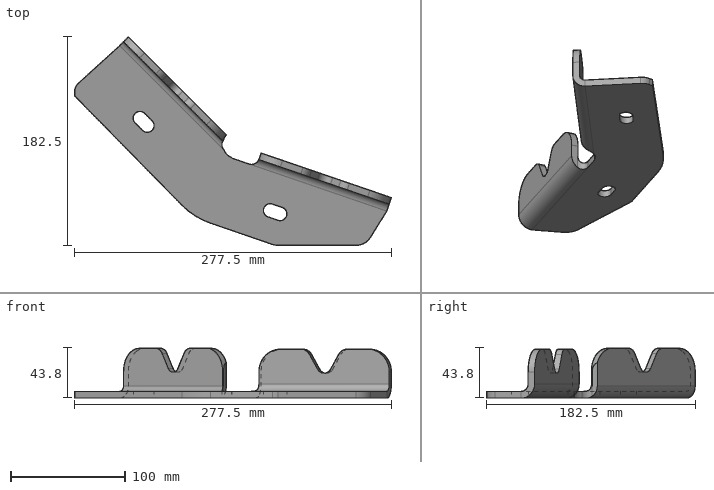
import cadquery as cq
import math

thickness = 6.0
corner_radius = 20.0
notch_depth = 21.0
notch_bottom_radius = 7.0
notch_lip_radius = 9.2
notch_half_angle = 30.0

left_angle = -45.0
left_start = (47.2, 182.5)
left_length = 122.7
left_height = 43.8
left_bend = 4.7

right_angle = -18.9
right_end = (277.5, 42.0)
right_length = 120.7
right_height = 43.0
right_bend = 6.5

left_edge_bottom = 131.0
left_edge_top = 139.0
elbow = (104.5, 24.5)
bottom_edge_start = 175.7
bottom_edge_end = 254.7
left_corner_radius = 10.0
bottom_corner_radius = 15.0
elbow_radius = 63.8

slot_width = 11.7
slot_length = 20.8
left_slot_center = (60.5, 108.2)
right_slot_center = (175.7, 29.0)
relief_radius = 12.5
flare_radius = 7.0
relief_spacing = 9.5
relief_start = (142.4, 88.5)


def offset(point, angle, along, outward=0.0):
    """Move a plan point along a direction and toward its left-hand side."""
    c = math.cos(math.radians(angle))
    s = math.sin(math.radians(angle))
    return (point[0] + along * c - outward * s, point[1] + along * s + outward * c)


def make_section(bend, height, begin, end):
    """Quarter bend and upright wall, run along the flange between two stations."""
    bend_outer = thickness + bend
    return (
        cq.Workplane("YZ", origin=(begin, 0, 0))
        .moveTo(-bend_outer, 0)
        .radiusArc((0, bend_outer), -bend_outer)
        .lineTo(0, height)
        .lineTo(-thickness, height)
        .lineTo(-thickness, bend_outer)
        .radiusArc((-bend_outer, thickness), bend)
        .close()
        .extrude(end - begin)
    )


def make_flare(bend, station, side):
    """Concave run-out of the bend past one flange end; side is -1 or 1 along the flange."""
    bend_outer = thickness + bend
    tip = station + side * flare_radius
    plan = (
        cq.Workplane("XY")
        .moveTo(station, -bend_outer)
        .lineTo(tip, -bend_outer)
        .radiusArc((station, flare_radius - bend_outer), side * flare_radius)
        .close()
        .extrude(bend_outer)
    )
    begin = min(station, tip)
    end = max(station, tip)
    return make_section(bend, bend_outer + flare_radius, begin, end).intersect(plan)


def make_flange(start, angle, length, height, bend, flare_side):
    """Bent-up flange with rounded upper corners, a central V notch and one flared end."""
    bend_outer = thickness + bend
    outline = (
        cq.Workplane("XZ")
        .rect(length, height, centered=False)
        .extrude(bend_outer)
        .edges("|Y and >Z")
        .fillet(corner_radius)
    )
    half_angle = math.radians(notch_half_angle)
    apex_depth = notch_depth + notch_bottom_radius * (1 / math.sin(half_angle) - 1)
    half_width = apex_depth * math.tan(half_angle)
    middle = length / 2
    notch = (
        cq.Workplane("XZ")
        .polyline([
            (middle - half_width, height),
            (middle, height - apex_depth),
            (middle + half_width, height),
        ])
        .close()
        .extrude(bend_outer)
        .edges("|Y and <Z")
        .fillet(notch_bottom_radius)
    )
    outline = outline.cut(notch)
    lips = cq.selectors.BoxSelector(
        (middle - half_width - 0.3, -bend_outer, height - 0.3),
        (middle + half_width + 0.3, bend_outer, height + 0.3),
    )
    outline = outline.edges("|Y").edges(lips).fillet(notch_lip_radius)
    flare_station = length if flare_side > 0 else 0
    flange = make_section(bend, height, 0, length).intersect(outline)
    flange = flange.union(make_flare(bend, flare_station, flare_side))
    return flange.rotate((0, 0, 0), (0, 0, 1), angle).translate((start[0], start[1], 0))


def make_slot(center, angle, length, width):
    """Vertical round-ended cutter, taller than the part's base and bends."""
    return (
        cq.Workplane("XY")
        .center(*center)
        .slot2D(length, width, angle)
        .extrude(max(left_height, right_height))
    )


right_start = offset(right_end, right_angle, -right_length)

left_line_start = offset(left_start, left_angle, 0, -thickness - left_bend)
right_line_start = offset(right_start, right_angle, 0, -thickness - right_bend)
right_line_end = offset(right_line_start, right_angle, right_length)
left_slope = math.tan(math.radians(left_angle))
right_slope = math.tan(math.radians(right_angle))
left_intercept = left_line_start[1] - left_slope * left_line_start[0]
right_intercept = right_line_start[1] - right_slope * right_line_start[0]
inner_x = (right_intercept - left_intercept) / (left_slope - right_slope)
inner_corner = (inner_x, left_intercept + left_slope * inner_x)

plate = (
    cq.Workplane("XY")
    .polyline([
        (0, left_edge_bottom),
        (0, left_edge_top),
        left_line_start,
        inner_corner,
        right_line_end,
        (bottom_edge_end, 0),
        (bottom_edge_start, 0),
        elbow,
    ])
    .close()
    .extrude(thickness)
)
rounded_corners = [
    ((0, left_edge_top), left_corner_radius),
    ((bottom_edge_end, 0), bottom_corner_radius),
    ((bottom_edge_start, 0), bottom_corner_radius),
    (elbow, elbow_radius),
]
for corner, radius in rounded_corners:
    nearest = cq.selectors.NearestToPointSelector((*corner, thickness / 2))
    plate = plate.edges("|Z").edges(nearest).fillet(radius)

left_flange = make_flange(left_start, left_angle, left_length, left_height, left_bend, 1)
right_flange = make_flange(
    right_start, right_angle, right_length, right_height, right_bend, -1
)
relief_center = offset(relief_start, right_angle, relief_spacing / 2)
relief = make_slot(
    relief_center, right_angle, relief_spacing + 2 * relief_radius, 2 * relief_radius
)

result = (
    plate.union(left_flange)
    .union(right_flange)
    .cut(make_slot(left_slot_center, left_angle, slot_length, slot_width))
    .cut(make_slot(right_slot_center, right_angle, slot_length, slot_width))
    .cut(relief)
)